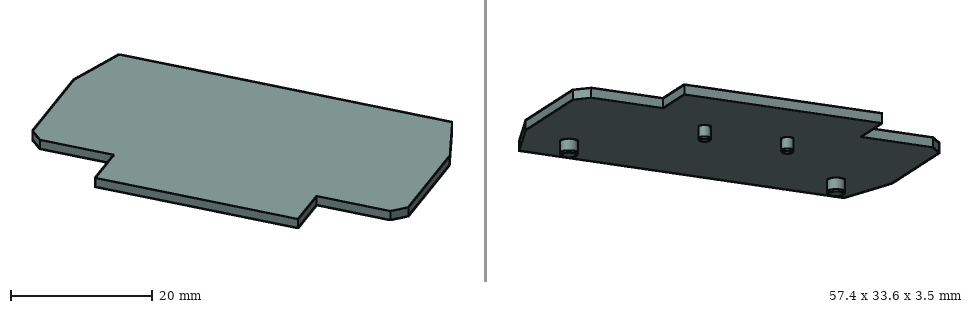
import cadquery as cq

width = 57.4
depth = 33.6
total_height = 3.5
plate_thickness = 1.5
back_edge_width = 50.85
back_taper_depth = 9.0
tab_width = 31.0
tab_length = 7.0
front_chamfer = 1.95

pin_length = total_height - plate_thickness
large_pin_diameter = 2.6
large_pin_spacing = 41.85
large_pin_from_back = 6.95
small_pin_diameter = 1.8
small_pin_spacing = 13.0
small_pin_from_back = 21.3
tip_chamfer_height = 0.3
tip_chamfer_inset = 0.2

back_y = depth / 2
front_y = -depth / 2
shoulder_y = front_y + tab_length


def make_plate():
    """Flat plate with tapered back corners and a tab at the front."""
    right_half = [
        (back_edge_width / 2, back_y),
        (width / 2, back_y - back_taper_depth),
        (width / 2, shoulder_y + front_chamfer),
        (width / 2 - front_chamfer, shoulder_y),
        (tab_width / 2, shoulder_y),
        (tab_width / 2, front_y),
    ]
    left_half = [(-x, y) for x, y in reversed(right_half)]
    return cq.Workplane("XY").polyline(right_half + left_half).close().extrude(plate_thickness)


def make_pin_pair(diameter, spacing, from_back):
    """Two downward pins with chamfered tips, starting at the plate underside."""
    pin_y = back_y - from_back
    return (
        cq.Workplane("XY")
        .pushPoints([(-spacing / 2, pin_y), (spacing / 2, pin_y)])
        .circle(diameter / 2)
        .extrude(-pin_length)
        .faces("<Z")
        .edges()
        .chamfer(tip_chamfer_height, tip_chamfer_inset)
    )


large_pins = make_pin_pair(large_pin_diameter, large_pin_spacing, large_pin_from_back)
small_pins = make_pin_pair(small_pin_diameter, small_pin_spacing, small_pin_from_back)

result = make_plate().union(large_pins).union(small_pins)